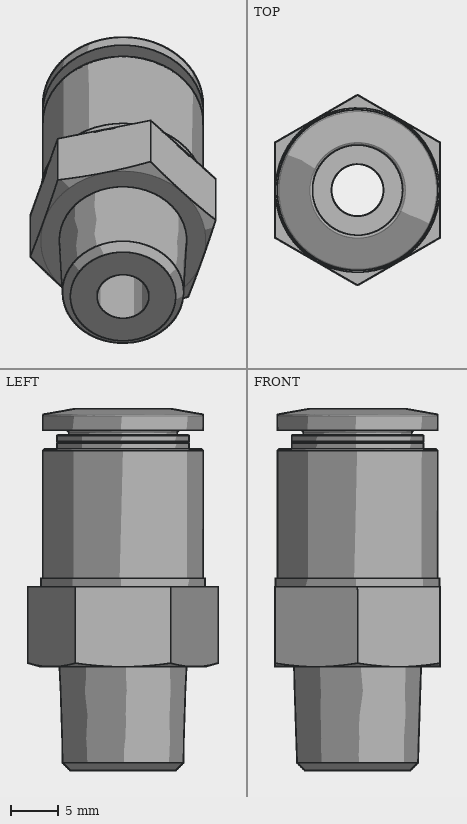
import cadquery as cq
import math

hex_across_flats = 17.45
hex_across_corners = hex_across_flats / math.cos(math.pi / 6)
hex_bottom = 11.0
hex_top = 19.45
hex_corner_relief = 0.4

shank_tip_diameter = 12.83
shank_root_diameter = 13.5
shank_chamfer = 0.85

collar_diameter = 17.4
collar_top = 20.38
body_diameter = 17.0
body_top = 34.05
body_chamfer = 0.23

sleeve_diameter = 13.98
sleeve_top = 35.55
seam_height = 34.75
sleeve_chamfer = 0.1

neck_diameter = 11.53
neck_fillet = 0.23
button_diameter = 17.0
button_bottom = 36.0
button_rim_top = 37.7
button_edge_radius = 0.2
total_height = 38.3

passage_diameter = 5.48
tube_bore_diameter = 9.55
mouth_diameter = 10.1
mouth_radius = (mouth_diameter - tube_bore_diameter) / 2
tube_seat = hex_top


def cylinder(diameter, bottom, top):
    return cq.Workplane("XY").workplane(offset=bottom).circle(diameter / 2).extrude(top - bottom)


def cone(bottom_diameter, top_diameter, bottom, top):
    base = cq.Vector(0, 0, bottom)
    return cq.Workplane(cq.Solid.makeCone(bottom_diameter / 2, top_diameter / 2, top - bottom, base))


def make_shank():
    tip = cone(shank_tip_diameter - 2 * shank_chamfer, shank_tip_diameter, 0, shank_chamfer)
    taper = cone(shank_tip_diameter, shank_root_diameter, shank_chamfer, hex_bottom)
    return tip.union(taper)


def make_hexagon():
    height = hex_top - hex_bottom
    prism = (
        cq.Workplane("XY").workplane(offset=hex_bottom)
        .transformed(rotate=(0, 0, 30)).polygon(6, hex_across_corners).extrude(height)
    )
    relief_top = hex_bottom + hex_corner_relief
    envelope = cone(hex_across_flats, hex_across_corners, hex_bottom, relief_top)
    envelope = envelope.union(cylinder(hex_across_corners, relief_top, hex_top))
    return prism.intersect(envelope)


def make_body():
    collar = cylinder(collar_diameter, hex_top, collar_top)
    barrel = cylinder(body_diameter, collar_top, body_top).faces(">Z").edges().chamfer(body_chamfer)
    return collar.union(barrel)


def make_sleeve():
    lower_ring = cylinder(sleeve_diameter, body_top, seam_height).faces(">Z").edges().chamfer(sleeve_chamfer)
    upper_ring = cylinder(sleeve_diameter, seam_height, sleeve_top).edges("%CIRCLE").chamfer(sleeve_chamfer)
    return lower_ring.union(upper_ring)


def make_button():
    neck = cylinder(neck_diameter, sleeve_top, button_bottom)
    rim = cylinder(button_diameter, button_bottom, button_rim_top)
    crown = cone(button_diameter, mouth_diameter, button_rim_top, total_height)
    head = rim.union(crown)
    head = head.faces("%CONE").edges("<Z").fillet(button_edge_radius)
    neck_side = cq.selectors.TypeSelector("CYLINDER") & cq.selectors.BoxSelector(
        (-neck_diameter, -neck_diameter, sleeve_top),
        (neck_diameter, neck_diameter, button_bottom),
    )
    neck_face = neck.union(head).faces(neck_side)
    return neck_face.edges(">Z").fillet(neck_fillet)


def make_bores():
    passage = cylinder(passage_diameter, 0, tube_seat)
    tube_bore = cylinder(tube_bore_diameter, tube_seat, total_height)
    arc_offset = mouth_radius * (1 - math.cos(math.pi / 4))
    mouth = (
        cq.Workplane("XZ").moveTo(0, total_height - mouth_radius)
        .lineTo(tube_bore_diameter / 2, total_height - mouth_radius)
        .threePointArc(
            (tube_bore_diameter / 2 + arc_offset, total_height - arc_offset),
            (mouth_diameter / 2, total_height),
        )
        .lineTo(0, total_height).close()
        .revolve(360, (0, 0, 0), (0, 1, 0))
    )
    return passage.union(tube_bore).union(mouth)


solid = make_shank()
for section in (make_hexagon(), make_body(), make_sleeve(), make_button()):
    solid = solid.union(section)

result = solid.cut(make_bores())